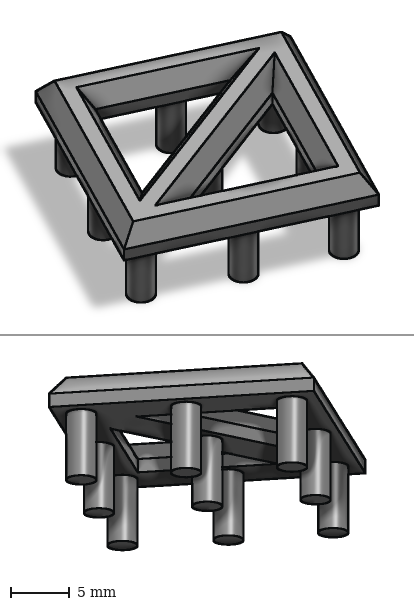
import cadquery as cq
import math

side = 23.0
plate_height = 2.97
edge_height = 1.2
slope_run = 1.26
rail_width = 4.0

leg_length = 5.93
leg_diameter = 2.58
corner_leg_inset = 2.35
middle_leg_inset = 2.1

slope_height = plate_height - edge_height


def tapered_block(outline, size_change):
    """Straight prism up to the edge height, then a loft to the resized outline on top."""
    band = cq.Workplane("XY").polyline(outline(0)).close().extrude(edge_height)
    slope = (
        cq.Workplane("XY").workplane(offset=edge_height)
        .polyline(outline(0)).close()
        .workplane(offset=slope_height)
        .polyline(outline(size_change)).close()
        .loft(ruled=True)
    )
    return band.union(slope)


def plate_outline(growth):
    half = side / 2 + growth
    return [(-half, -half), (half, -half), (half, half), (-half, half)]


def window_outline(growth):
    """Right triangle in the +X +Y half, between two rails and the diagonal bar."""
    corner = side / 2 - rail_width + growth
    bar_offset = (rail_width / 2 - growth) * math.sqrt(2)
    return [(corner, corner), (bar_offset - corner, corner), (corner, bar_offset - corner)]


def make_frame():
    window = tapered_block(window_outline, slope_run)
    opposite_window = window.rotate((0, 0, 0), (0, 0, 1), 180)
    return tapered_block(plate_outline, -slope_run).cut(window).cut(opposite_window)


def leg_positions():
    corner = side / 2 - corner_leg_inset
    middle = side / 2 - middle_leg_inset
    corners = [(x, y) for x in (-corner, corner) for y in (-corner, corner)]
    middles = [(-middle, 0), (middle, 0), (0, -middle), (0, middle)]
    center = [(0, 0)]
    return corners + middles + center


def make_legs():
    return (
        cq.Workplane("XY").pushPoints(leg_positions())
        .circle(leg_diameter / 2).extrude(-leg_length)
    )


result = make_frame().union(make_legs())